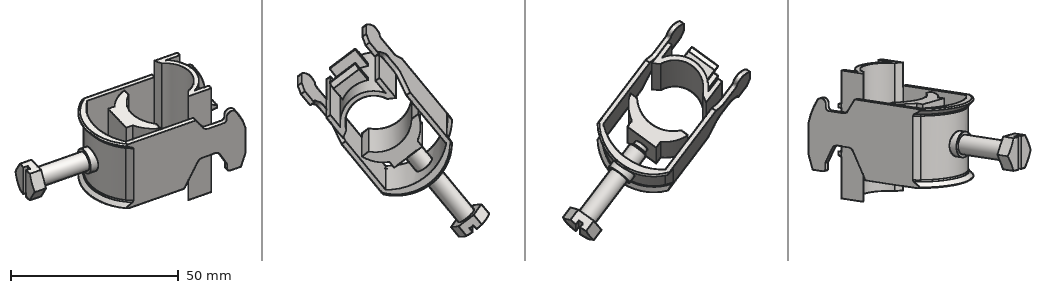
import cadquery as cq
import math


BRACKET_WIDTH = 26.0
BRACKET_HEIGHT = 24.1
BRACKET_END = 68.5
SHEET = 1.5
HALF_WIDTH = BRACKET_WIDTH / 2
HALF_HEIGHT = BRACKET_HEIGHT / 2

BOW_CENTER_Y = 37.8
BOW_RADIUS = 15.2
RIM_RADIUS = 16.8
RIM_LAND_RADIUS = 16.2
RIM_LAND_HEIGHT = 0.4
RIM_FLANK = 1.4
RIM_ROOT_HEIGHT = 0.55
INNER_BOW_Y = 24.0
INNER_BOW_START_Y = 28.15

BODY_TOP_Y = 51.4
BODY_BOTTOM_Y = 47.4
NECK_TOP = 7.3
NECK_TOP_Y = 54.6
NECK_BOTTOM = -2.8
NECK_FRONT_Y = 52.55
NECK_BACK_Y = 59.1
NECK_FILLET = 2.0
HOOK_INNER_Y = 62.0
HOOK_TIP_RADIUS = 1.7
HOOK_TIP_Z = 10.9
HOOK_ROOT_FILLET = 1.0
HOOK_BACK_START = (65.15, 10.2)
HOOK_BACK_MID = (67.3, 6.4)
END_FLAT_TOP = 2.7
END_FLAT_BOTTOM = -6.7
TAIL_BOTTOM = -11.3
TAIL_OUTER_Y = 66.9
TAIL_INNER_Y = 62.3
TAIL_SLANT_Z = -8.6
TAIL_CORNER_FILLET = 0.8

PAD_HEIGHT = 23.5
PAD_TOP_Y = 40.55
PAD_FOOT_Y = 31.85
PAD_SEAT_Y = 36.8
PAD_FOOT_HALF = 5.35
PAD_TIP_INNER_X = 8.15
PAD_TIP_OUTER_X = 10.7
PAD_BACK_MID = (8.7, 37.0)
PAD_BACK_END_Y = 34.1

SCREW_RADIUS = 3.0
SCREW_END_Y = 30.5
SCREW_CHAMFER = 0.6
PIN_RADIUS = 2.2
COLLAR_RADIUS = 3.9
COLLAR_END_Y = 20.55
HEAD_LENGTH = 4.05
HEAD_ACROSS_FLATS = 10.0
HEAD_CHAMFER_ANGLE = 15
SLOT_WIDTH = 1.5
SLOT_DEPTH = 1.5

SADDLE_HEIGHT = 39.0
SADDLE_CENTER_Y = 48.4
SADDLE_OUTER_RADIUS = 10.0
SADDLE_INNER_RADIUS = SADDLE_OUTER_RADIUS - SHEET
SADDLE_HALF_WIDTH = 10.1
SADDLE_LIP_X = 7.8
SADDLE_TIP_Y = 50.4
SADDLE_BACK_Y = SADDLE_CENTER_Y + SADDLE_OUTER_RADIUS

SNAP_WIDTH = 9.7
SNAP_THICKNESS = 2.0
SNAP_ROOT_Z = 8.3
SNAP_BARB_Y = 61.65
SNAP_END_Y = 63.5
SNAP_RISE = 0.3
SNAP_LEAD_IN = 0.9


def plan_prism(outline, height):
    """Extrude an XY outline to the given height, centred on Z = 0."""
    return outline.extrude(height / 2, both=True)


def y_cylinder(radius, start_y, end_y):
    """Cylinder on the screw axis between two Y positions."""
    return cq.Workplane("XZ", origin=(0, end_y, 0)).circle(radius).extrude(end_y - start_y)


def u_strip():
    """Bracket in plan: two flat sides joined by the bowed front wall at its full rim size."""
    rim_side_y = BOW_CENTER_Y - math.sqrt(RIM_RADIUS**2 - HALF_WIDTH**2)
    inner_half = HALF_WIDTH - SHEET
    outline = (
        cq.Workplane("XY")
        .moveTo(-HALF_WIDTH, BRACKET_END)
        .lineTo(-HALF_WIDTH, rim_side_y)
        .threePointArc((0, BOW_CENTER_Y - RIM_RADIUS), (HALF_WIDTH, rim_side_y))
        .lineTo(HALF_WIDTH, BRACKET_END)
        .lineTo(inner_half, BRACKET_END)
        .lineTo(inner_half, INNER_BOW_START_Y)
        .threePointArc((0, INNER_BOW_Y), (-inner_half, INNER_BOW_START_Y))
        .lineTo(-inner_half, BRACKET_END)
        .close()
    )
    return plan_prism(outline, BRACKET_HEIGHT)


def front_groove():
    """Ring cut that leaves the thin front wall and the chamfered rims above and below it."""
    clear_radius = RIM_RADIUS + SHEET
    edge_z = HALF_HEIGHT - RIM_LAND_HEIGHT
    flank_z = edge_z - RIM_FLANK
    root_z = flank_z - RIM_ROOT_HEIGHT
    flank_radius = RIM_RADIUS - RIM_FLANK
    profile = (
        cq.Workplane("XZ", origin=(0, BOW_CENTER_Y, 0))
        .moveTo(RIM_LAND_RADIUS, HALF_HEIGHT)
        .lineTo(RIM_RADIUS, edge_z)
        .lineTo(flank_radius, flank_z)
        .lineTo(BOW_RADIUS, root_z)
        .lineTo(BOW_RADIUS, -root_z)
        .lineTo(flank_radius, -flank_z)
        .lineTo(RIM_RADIUS, -edge_z)
        .lineTo(RIM_LAND_RADIUS, -HALF_HEIGHT)
        .lineTo(clear_radius, -HALF_HEIGHT)
        .lineTo(clear_radius, HALF_HEIGHT)
        .close()
    )
    return profile.revolve(180, (0, 0), (0, -1))


def side_profile():
    """Prism through both bracket sides that gives them the rail hook at their free ends."""
    tip_center_y = HOOK_INNER_Y + HOOK_TIP_RADIUS
    tip_center_z = HOOK_TIP_Z - HOOK_TIP_RADIUS
    outline = (
        cq.Workplane("YZ")
        .moveTo(0, HALF_HEIGHT)
        .lineTo(BODY_TOP_Y, HALF_HEIGHT)
        .lineTo(NECK_TOP_Y, NECK_TOP)
        .lineTo(HOOK_INNER_Y, NECK_TOP)
        .lineTo(HOOK_INNER_Y, tip_center_z)
        .threePointArc((tip_center_y, HOOK_TIP_Z), HOOK_BACK_START)
        .threePointArc(HOOK_BACK_MID, (BRACKET_END, END_FLAT_TOP))
        .lineTo(BRACKET_END, END_FLAT_BOTTOM)
        .lineTo(TAIL_OUTER_Y, TAIL_BOTTOM)
        .lineTo(TAIL_INNER_Y, TAIL_BOTTOM)
        .lineTo(TAIL_INNER_Y, TAIL_SLANT_Z)
        .lineTo(NECK_BACK_Y, NECK_BOTTOM)
        .lineTo(NECK_FRONT_Y, NECK_BOTTOM)
        .lineTo(BODY_BOTTOM_Y, -HALF_HEIGHT)
        .lineTo(0, -HALF_HEIGHT)
        .close()
    )
    prism = outline.extrude(HALF_WIDTH, both=True)
    for y, z, radius in (
        (NECK_TOP_Y, NECK_TOP, NECK_FILLET),
        (NECK_FRONT_Y, NECK_BOTTOM, NECK_FILLET),
        (NECK_BACK_Y, NECK_BOTTOM, NECK_FILLET),
        (HOOK_INNER_Y, NECK_TOP, HOOK_ROOT_FILLET),
        (TAIL_INNER_Y, TAIL_BOTTOM, TAIL_CORNER_FILLET),
    ):
        prism = prism.edges(cq.selectors.NearestToPointSelector((0, y, z))).fillet(radius)
    return prism


def make_bracket():
    return u_strip().cut(front_groove()).intersect(side_profile())


def make_pad():
    """Pressure pad with a concave pipe seat and a rectangular foot."""
    mid_x, mid_y = PAD_BACK_MID
    outline = (
        cq.Workplane("XY")
        .moveTo(-PAD_TIP_INNER_X, PAD_TOP_Y)
        .threePointArc((0, PAD_SEAT_Y), (PAD_TIP_INNER_X, PAD_TOP_Y))
        .lineTo(PAD_TIP_OUTER_X, PAD_TOP_Y)
        .threePointArc((mid_x, mid_y), (PAD_FOOT_HALF, PAD_BACK_END_Y))
        .lineTo(PAD_FOOT_HALF, PAD_FOOT_Y)
        .lineTo(-PAD_FOOT_HALF, PAD_FOOT_Y)
        .lineTo(-PAD_FOOT_HALF, PAD_BACK_END_Y)
        .threePointArc((-mid_x, mid_y), (-PAD_TIP_OUTER_X, PAD_TOP_Y))
        .close()
    )
    return plan_prism(outline, PAD_HEIGHT)


def make_head():
    """Slotted hexagon head, its outer corners turned off to a circle across the flats."""
    flat_radius = HEAD_ACROSS_FLATS / 2
    corner_radius = flat_radius / math.cos(math.pi / 6)
    drop = (corner_radius - flat_radius) * math.tan(math.radians(HEAD_CHAMFER_ANGLE))
    hexagon = (
        cq.Workplane("XZ", origin=(0, HEAD_LENGTH, 0))
        .polygon(6, 2 * corner_radius)
        .extrude(HEAD_LENGTH)
    )
    turned = (
        cq.Workplane("XY")
        .moveTo(0, 0)
        .lineTo(flat_radius, 0)
        .lineTo(corner_radius, drop)
        .lineTo(corner_radius, HEAD_LENGTH)
        .lineTo(0, HEAD_LENGTH)
        .close()
        .revolve(360, (0, 0), (0, 1))
    )
    slot = cq.Workplane("XY").box(SLOT_WIDTH, 2 * SLOT_DEPTH, 2 * HEAD_ACROSS_FLATS)
    return hexagon.intersect(turned).cut(slot)


def make_screw():
    """Head, shank with a chamfered end, and the thin pin that carries the pad."""
    shank = y_cylinder(SCREW_RADIUS, HEAD_LENGTH, SCREW_END_Y).faces(">Y").chamfer(SCREW_CHAMFER)
    pin = y_cylinder(PIN_RADIUS, SCREW_END_Y, PAD_FOOT_Y)
    return shank.union(pin).union(make_head())


def make_clamp():
    collar = y_cylinder(COLLAR_RADIUS, COLLAR_END_Y, INNER_BOW_Y)
    return make_bracket().union(collar).union(make_screw()).union(make_pad())


def saddle_shell():
    """Half-round pipe seat with a straight wing on each side."""
    wing_inner_x = SADDLE_HALF_WIDTH - SHEET
    wing_root_y = SADDLE_CENTER_Y + math.sqrt(SADDLE_OUTER_RADIUS**2 - wing_inner_x**2)
    lip_y = SADDLE_CENTER_Y + math.sqrt(SADDLE_INNER_RADIUS**2 - SADDLE_LIP_X**2)
    outline = (
        cq.Workplane("XY")
        .moveTo(-wing_inner_x, wing_root_y)
        .threePointArc((0, SADDLE_BACK_Y), (wing_inner_x, wing_root_y))
        .lineTo(wing_inner_x, SADDLE_BACK_Y)
        .lineTo(SADDLE_HALF_WIDTH, SADDLE_BACK_Y)
        .lineTo(SADDLE_HALF_WIDTH, SADDLE_TIP_Y)
        .lineTo(SADDLE_LIP_X, lip_y)
        .threePointArc((0, SADDLE_CENTER_Y + SADDLE_INNER_RADIUS), (-SADDLE_LIP_X, lip_y))
        .lineTo(-SADDLE_HALF_WIDTH, SADDLE_TIP_Y)
        .lineTo(-SADDLE_HALF_WIDTH, SADDLE_BACK_Y)
        .lineTo(-wing_inner_x, SADDLE_BACK_Y)
        .close()
    )
    return plan_prism(outline, SADDLE_HEIGHT)


def snap_hook(side):
    """One barbed tongue, spreading slightly outward; side is +1 for the upper and -1 for the lower one."""
    slope = SNAP_RISE / (SNAP_BARB_Y - SADDLE_BACK_Y)
    end_rise = slope * (SNAP_END_Y - SADDLE_BACK_Y)
    arc_edge_y = SADDLE_CENTER_Y + math.sqrt(SADDLE_OUTER_RADIUS**2 - (SNAP_WIDTH / 2) ** 2)
    root_y = arc_edge_y - SHEET / 2
    root_drop = slope * (SADDLE_BACK_Y - root_y)
    inner_z = SNAP_ROOT_Z - SNAP_THICKNESS
    barb_z = SNAP_ROOT_Z + SNAP_RISE
    tongue = (
        cq.Workplane("YZ")
        .moveTo(root_y, side * (SNAP_ROOT_Z - root_drop))
        .lineTo(SNAP_BARB_Y, side * barb_z)
        .lineTo(SNAP_END_Y, side * (barb_z - SNAP_LEAD_IN))
        .lineTo(SNAP_END_Y, side * (inner_z + end_rise))
        .lineTo(root_y, side * (inner_z - root_drop))
        .close()
        .extrude(SNAP_WIDTH / 2, both=True)
    )
    bore = cq.Workplane("XY").center(0, SADDLE_CENTER_Y).circle(SADDLE_INNER_RADIUS)
    return tongue.cut(plan_prism(bore, SADDLE_HEIGHT))


def make_saddle():
    saddle = saddle_shell()
    for side in (1, -1):
        saddle = saddle.union(snap_hook(side))
    return saddle


clamp = make_clamp()
saddle = make_saddle()

result = cq.Compound.makeCompound([clamp.val(), saddle.val()])